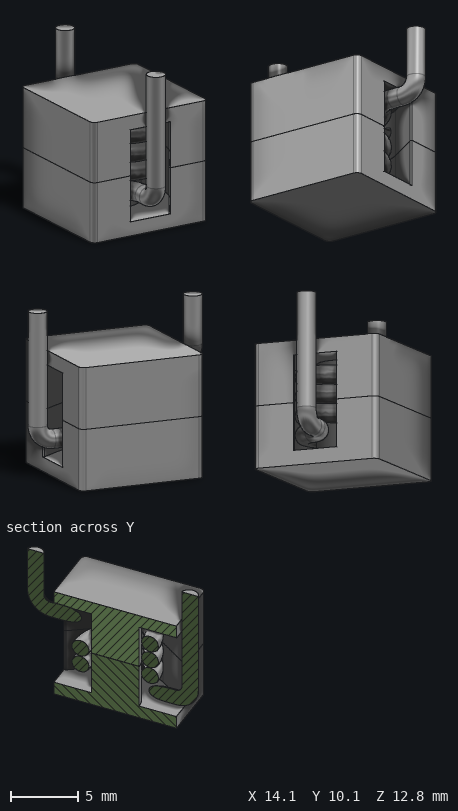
import cadquery as cq
import math

CORE_WIDTH = 10.1
CORE_HEIGHT = 9.46
CORNER_RADIUS = 0.42
WINDING_SPACE_HEIGHT = 7.23
WINDING_SPACE_RADIUS = 4.16
POST_DIAMETER = 3.95
WINDOW_WIDTH = 3.5
WINDOW_LIP = 0.17

WIRE_DIAMETER = 1.44
POST_CLEARANCE = 0.17
HALF_TURNS = 7
ENTRY_ANGLE = 28.0
LEFT_LEAD_X = -6.53
RIGHT_LEAD_X = 6.17
LEAD_Y = -0.21
LEFT_LEAD_Z = 2.98
RIGHT_LEAD_Z = -1.88
LEFT_BEND_RADIUS = 1.23
RIGHT_BEND_RADIUS = 1.16
LEAD_RISE = 3.3

HALF_WIDTH = CORE_WIDTH / 2
HALF_HEIGHT = CORE_HEIGHT / 2
HALF_SPACE = WINDING_SPACE_HEIGHT / 2
COIL_RADIUS = POST_DIAMETER / 2 + POST_CLEARANCE + WIRE_DIAMETER / 2
TIP_Z = HALF_HEIGHT + LEAD_RISE
ENTRY = math.radians(ENTRY_ANGLE)
WINDING_HEIGHT = LEFT_LEAD_Z - RIGHT_LEAD_Z
TURNS = HALF_TURNS / 2 - 2 * ENTRY_ANGLE / 360
PITCH = WINDING_HEIGHT / TURNS
ENTRY_CURVE_RADIUS = (COIL_RADIUS * math.sin(ENTRY) + LEAD_Y) / (1 - math.sin(ENTRY))
ENTRY_CURVE_X = (COIL_RADIUS + ENTRY_CURVE_RADIUS) * math.cos(ENTRY)


def flared_opening(side):
    """Window in the wall at X = side * HALF_WIDTH; its flaring walls are tangent to the winding space."""
    lip_x = HALF_WIDTH - WINDOW_LIP
    lip_y = WINDOW_WIDTH / 2
    tangent_angle = math.atan2(lip_y, lip_x) + math.acos(WINDING_SPACE_RADIUS / math.hypot(lip_x, lip_y))
    tangent_x = WINDING_SPACE_RADIUS * math.cos(tangent_angle)
    tangent_y = WINDING_SPACE_RADIUS * math.sin(tangent_angle)
    half_outline = [(HALF_WIDTH, lip_y), (lip_x, lip_y), (tangent_x, tangent_y)]
    outline = half_outline + [(x, -y) for x, y in reversed(half_outline)]
    return (
        cq.Workplane("XY")
        .polyline([(side * x, y) for x, y in outline])
        .close()
        .extrude(HALF_SPACE)
    )


def make_upper_core():
    block = (
        cq.Workplane("XY")
        .rect(CORE_WIDTH, CORE_WIDTH)
        .extrude(HALF_HEIGHT)
        .edges("|Z")
        .fillet(CORNER_RADIUS)
    )
    winding_space = cq.Workplane("XY").circle(WINDING_SPACE_RADIUS).extrude(HALF_SPACE)
    for side in (-1, 1):
        winding_space = winding_space.union(flared_opening(side))
    post = cq.Workplane("XY").circle(POST_DIAMETER / 2).extrude(HALF_SPACE)
    return block.cut(winding_space.cut(post))


def lead_edges(side, lead_x, lead_z, bend_radius):
    """Wire centre line from the upright tip, through the bend, to the start of the winding."""
    bend_x = lead_x - side * bend_radius
    bend_z = lead_z + bend_radius
    middle_offset = bend_radius * math.sin(math.pi / 4)
    bend_middle = cq.Vector(bend_x + side * middle_offset, LEAD_Y, bend_z - middle_offset)
    tip = cq.Vector(lead_x, LEAD_Y, TIP_Z)
    bend_top = cq.Vector(lead_x, LEAD_Y, bend_z)
    bend_end = cq.Vector(bend_x, LEAD_Y, lead_z)
    curve_start = cq.Vector(side * ENTRY_CURVE_X, LEAD_Y, lead_z)
    curve_end = cq.Vector(side * COIL_RADIUS * math.cos(ENTRY), -COIL_RADIUS * math.sin(ENTRY), lead_z)
    winding_slope = PITCH / (2 * math.pi * COIL_RADIUS)
    winding_direction = cq.Vector(-side * math.sin(ENTRY), -math.cos(ENTRY), side * winding_slope)
    return [
        cq.Edge.makeLine(tip, bend_top),
        cq.Edge.makeThreePointArc(bend_top, bend_middle, bend_end),
        cq.Edge.makeLine(bend_end, curve_start),
        cq.Edge.makeSpline([curve_start, curve_end], tangents=[cq.Vector(-side, 0, 0), winding_direction]),
    ]


def make_coil():
    winding = (
        cq.Wire.makeHelix(PITCH, WINDING_HEIGHT, COIL_RADIUS, lefthand=True)
        .rotate(cq.Vector(0, 0, 0), cq.Vector(0, 0, 1), -ENTRY_ANGLE)
        .translate(cq.Vector(0, 0, RIGHT_LEAD_Z))
    )
    left_lead = lead_edges(-1, LEFT_LEAD_X, LEFT_LEAD_Z, LEFT_BEND_RADIUS)
    right_lead = lead_edges(1, RIGHT_LEAD_X, RIGHT_LEAD_Z, RIGHT_BEND_RADIUS)
    centre_line = cq.Wire.assembleEdges(right_lead + winding.Edges() + left_lead[::-1])
    return (
        cq.Workplane("XY", origin=(RIGHT_LEAD_X, LEAD_Y, TIP_Z))
        .circle(WIRE_DIAMETER / 2)
        .sweep(cq.Workplane(obj=centre_line))
    )


coil = make_coil()
plain_core = make_upper_core()
upper_core = plain_core.cut(coil)
lower_core = plain_core.mirror("XY")

result = cq.Compound.makeCompound([upper_core.solids().val(), lower_core.solids().val(), coil.val()])